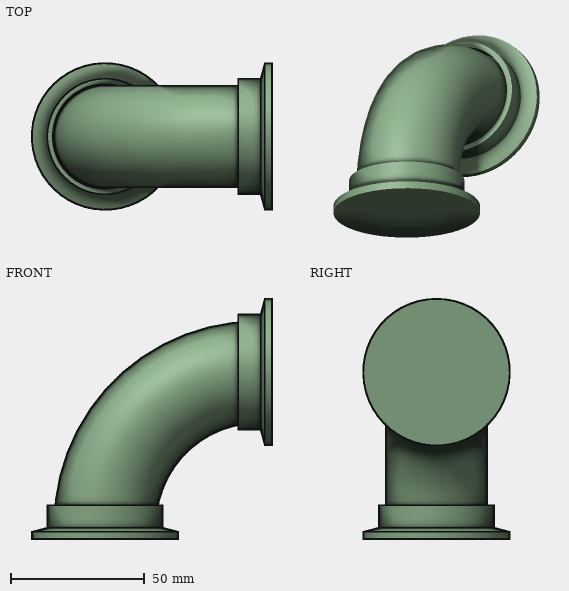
import cadquery as cq
import math

tube_diameter = 38.1
bend_ratio = 1.5
center_to_face = 62.46

flange_diameter = 54.86
rim_thickness = 2.7
cone_angle = 15.0
collar_diameter = 43.18
flange_length = 12.7
socket_diameter = 39.1

tube_radius = tube_diameter / 2
bend_radius = bend_ratio * tube_diameter
flange_radius = flange_diameter / 2
collar_radius = collar_diameter / 2
cone_height = (flange_radius - collar_radius) * math.tan(math.radians(cone_angle))
socket_floor = center_to_face - bend_radius

port_planes = [
    cq.Plane(origin=(0, 0, 0), xDir=(1, 0, 0), normal=(0, 0, 1)),
    cq.Plane(origin=(center_to_face, 0, center_to_face), xDir=(0, 0, 1), normal=(-1, 0, 0)),
]


def make_tube():
    """Quarter-turn bend from the lower socket floor to the upper one."""
    bend_angle = 90
    return (
        cq.Workplane("XY", origin=(0, 0, socket_floor))
        .circle(tube_radius)
        .revolve(bend_angle, (bend_radius, 0, 0), (bend_radius, 1, 0))
    )


def make_flange(port_plane, tube):
    """Clamp flange with a tapered rim, a collar and a socket for the tube."""
    rim = cq.Workplane(port_plane).circle(flange_radius).extrude(rim_thickness)
    cone = (
        cq.Workplane(port_plane)
        .workplane(offset=rim_thickness)
        .circle(flange_radius)
        .extrude(cone_height, taper=90 - cone_angle)
    )
    collar = cq.Workplane(port_plane).circle(collar_radius).extrude(flange_length)
    socket = (
        cq.Workplane(port_plane)
        .workplane(offset=socket_floor)
        .circle(socket_diameter / 2)
        .extrude(flange_length - socket_floor)
    )
    return rim.union(cone).union(collar).cut(socket).cut(tube)


tube = make_tube()
flanges = [make_flange(plane, tube) for plane in port_planes]

result = cq.Compound.makeCompound([tube.val(), *[flange.solids().val() for flange in flanges]])